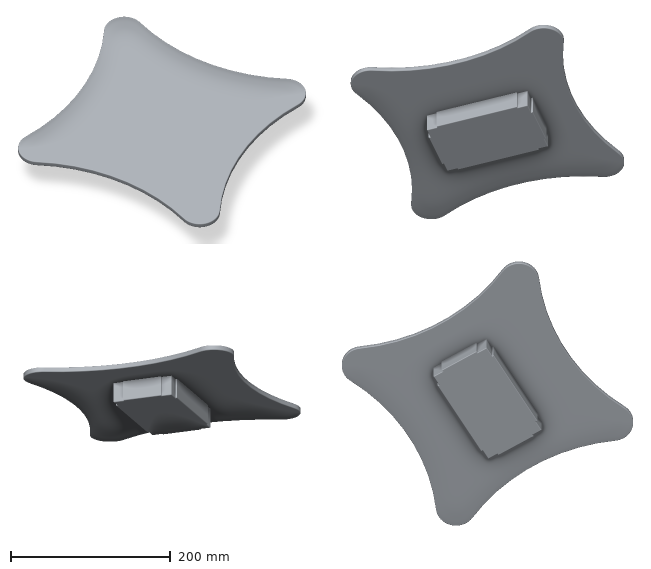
import cadquery as cq
import math

plate_size = 279.5
total_height = 31.9

plate_thickness = 6.5
lobe_radius = 25.1
side_radius = 250.0
plate_edge_fillet = 1.0

block_length_x = 82.1
block_length_y = 138.0
corner_step = 2.2
corner_length = 15.6
block_edge_fillet = 1.0


def plate_outline():
    """Draw the four concave sides and four lobes, each tangent to the next."""
    lobe_center = plate_size / 2 - lobe_radius
    center_distance = side_radius + lobe_radius
    side_center = lobe_center + math.sqrt(center_distance**2 - lobe_center**2)
    side_middle = side_center - side_radius
    fraction = lobe_radius / center_distance
    tangent_x = lobe_center * (1 - fraction)
    tangent_y = lobe_center + (side_center - lobe_center) * fraction
    lobe_tip = lobe_center + lobe_radius / math.sqrt(2)

    outline = cq.Workplane("XY").moveTo(-tangent_x, tangent_y)
    for quarter in range(4):
        angle = -math.pi / 2 * quarter

        def turned(x, y):
            return (
                x * math.cos(angle) - y * math.sin(angle),
                x * math.sin(angle) + y * math.cos(angle),
            )

        outline = outline.threePointArc(turned(0, side_middle), turned(tangent_x, tangent_y))
        outline = outline.threePointArc(turned(lobe_tip, lobe_tip), turned(tangent_y, tangent_x))
    return outline.close()


def make_plate():
    plate = plate_outline().extrude(plate_thickness)
    return plate.faces("<Z or >Z").edges().fillet(plate_edge_fillet)


def make_block():
    """Build the block downward from the underside of the plate at Z = 0."""
    depth = total_height - plate_thickness
    narrow_x = block_length_x - 2 * corner_step
    narrow_y = block_length_y - 2 * corner_step
    pad_x = block_length_x - 2 * corner_length
    pad_y = block_length_y - 2 * corner_length

    block = cq.Workplane("XY").rect(narrow_x, narrow_y).extrude(-depth)
    for size_x, size_y in ((pad_x, block_length_y), (block_length_x, pad_y)):
        block = block.union(cq.Workplane("XY").rect(size_x, size_y).extrude(-depth))
    return block.faces("<Z").edges().fillet(block_edge_fillet)


result = make_plate().union(make_block())